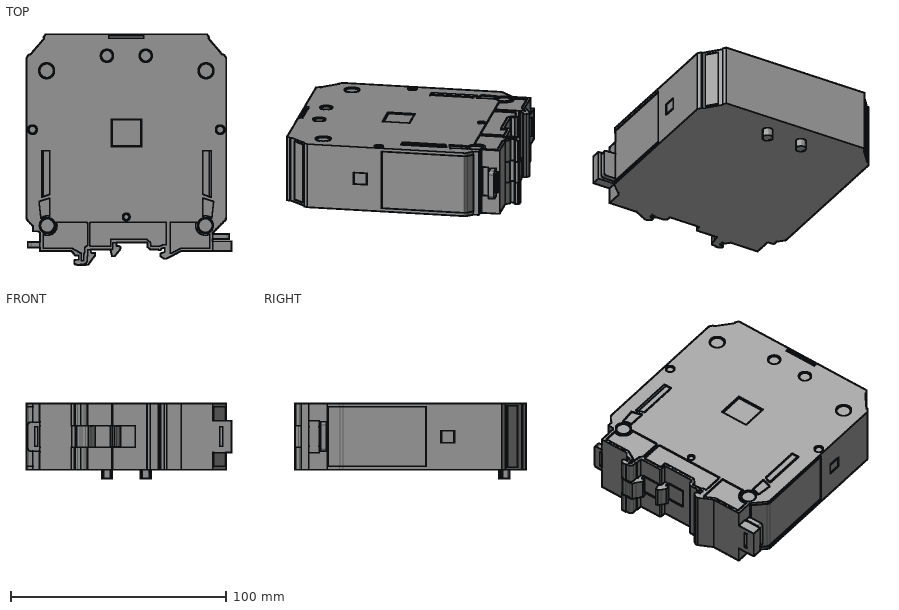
import cadquery as cq
import math

HEIGHT = 30.9
MID_Z = HEIGHT / 2
HALF_WIDTH = 46.5
TOP_Y = 107.4
BASE_HALF_WIDTH = 40.2
BASE_Y = 6.4
RAIL_Y = 7.2
CHANNEL_Y = 10.4
SHALLOW = 0.5
SIDES = (-1, 1)


def prism(points, bottom, top):
    """Polygon in XY, extruded from Z = bottom to Z = top."""
    return cq.Workplane("XY").workplane(offset=bottom).polyline(points).close().extrude(top - bottom)


def block(x_range, y_range, z_range):
    """Box given by its limits along each axis."""
    lows, highs = zip(x_range, y_range, z_range)
    sizes = [high - low for low, high in zip(lows, highs)]
    return cq.Workplane("XY").box(*sizes, centered=False).translate(lows)


def centred(half_height):
    """Z limits of a feature centred on the housing thickness."""
    return (MID_Z - half_height, MID_Z + half_height)


def flip(points, side):
    """Points drawn for the +X half, moved to the chosen side."""
    return [(side * x, y) for x, y in points]


CORNER_Y = 21.3
CORNER_RADIUS = 2.1
CHAMFER_END_Y = CORNER_Y - (HALF_WIDTH - BASE_HALF_WIDTH)
FOOT_ARC_RADIUS = 1.5
FOOT_RIGHT = -18.3
FOOT_HEEL = 0.4

UPPER_CORNER = [(HALF_WIDTH, 96.2), (45.4, 97.8), (44.6, 97.9), (38.2, 105.3), (38.5, 105.8), (37.5, TOP_Y)]


def housing():
    arc_mid = FOOT_ARC_RADIUS * math.sqrt(0.5)
    arc_centre = (FOOT_RIGHT - FOOT_ARC_RADIUS, FOOT_HEEL + FOOT_ARC_RADIUS)
    left_flank = [(-BASE_HALF_WIDTH, CHAMFER_END_Y), (-40.6, 15.6), (-43.5, 15.7), (-43.5, 18.1)]
    rail_side = [
        (FOOT_RIGHT, 4.1), (-17.8, 4.4), (-17.8, RAIL_Y), (-6.8, RAIL_Y), (-6.2, 7.8),
        (-6.2, CHANNEL_Y), (9.5, CHANNEL_Y), (9.8, 10.0), (9.8, 8.4), (11.1, RAIL_Y),
        (14.8, RAIL_Y), (15.2, 6.8), (15.9, 6.8), (16.2, 7.5), (17.8, 8.1),
        (17.8, 6.1), (16.3, 5.6), (15.8, 5.3), (15.8, 4.1), (17.5, 2.9), (18.7, 2.9),
        (25.5, BASE_Y), (BASE_HALF_WIDTH, BASE_Y), (BASE_HALF_WIDTH, CHAMFER_END_Y),
    ]
    foot = [
        (-BASE_HALF_WIDTH, BASE_Y), (-25.6, BASE_Y), (-23.8, 4.4), (-22.2, 4.4),
        (-22.2, 2.4), (-24.0, 2.4), (-24.3, 2.0), (-24.3, 0.9), (-23.8, 0.2), (-22.8, 0), (-21.2, 0),
        (-21.2, FOOT_HEEL), (arc_centre[0], FOOT_HEEL),
    ]
    outline = (
        cq.Workplane("XY").polyline(foot)
        .threePointArc((arc_centre[0] + arc_mid, arc_centre[1] - arc_mid), (FOOT_RIGHT, arc_centre[1]))
    )
    around = rail_side + [(HALF_WIDTH, CORNER_Y)] + UPPER_CORNER
    around += flip(UPPER_CORNER[::-1], -1) + [(-HALF_WIDTH, CORNER_Y)] + left_flank[::-1]
    for point in around:
        outline = outline.lineTo(*point)
    body = outline.close().extrude(HEIGHT)
    for side in SIDES:
        corner = cq.selectors.NearestToPointSelector((side * HALF_WIDTH, CORNER_Y, MID_Z))
        body = body.edges(corner).fillet(CORNER_RADIUS)
    return body


RIM = 0.4
LOWER_DISC_X = 36.7
LOWER_DISC_Y = 18.4
DISC_RADIUS = 3.7
DISC_WALL_RADIUS = 4.5
PIN_X = 9.0
PIN_Y = 97.3


def sloped_disc(x, y, radius):
    cone = cq.Solid.makeCone(radius - RIM, radius, SHALLOW, pnt=cq.Vector(x, y, HEIGHT - SHALLOW))
    return cq.Workplane(cone)


def disc_recesses():
    spots = [(0, 22.3, 1.7)]
    for side in SIDES:
        spots += [
            (side * PIN_X, PIN_Y, 3.0),
            (side * 37.0, 90.3, DISC_RADIUS),
            (side * 43.6, 62.9, 2.1),
            (side * LOWER_DISC_X, LOWER_DISC_Y, DISC_RADIUS),
        ]
    cuts = sloped_disc(*spots[0])
    for spot in spots[1:]:
        cuts = cuts.union(sloped_disc(*spot))
    return cuts


def square_recess():
    width, length = 14.2, 12.9
    slope = math.degrees(math.atan2(RIM, SHALLOW))
    return (
        cq.Workplane("XY").workplane(offset=HEIGHT).center(0, 61.4)
        .rect(width, length).extrude(-SHALLOW, taper=slope)
    )


def top_slot():
    depth = 1.1
    return block((-8.2, 8.2), (105.3, 106.6), (HEIGHT - depth, HEIGHT))


def base_panels():
    """Three sunken panels that leave a narrow wall along the base outline."""
    panel_top = 19.9
    left_panel = [
        (-LOWER_DISC_X, panel_top), (-18.5, panel_top), (-18.0, 19.4), (-18.0, 9.2), (-19.2, 8.2),
        (-19.4, 5.9), (-19.8, 5.2), (-19.8, 1.9), (-20.9, 1.9), (-20.9, 5.4), (-25.3, 7.8),
        (-38.7, 7.8), (-38.7, LOWER_DISC_Y),
    ]
    middle_panel = [
        (-16.6, panel_top), (18.6, panel_top), (18.6, 9.5), (17.1, 9.5), (15.5, 8.7), (11.4, 8.7),
        (11.4, 10.2), (9.6, 11.9), (-7.3, 11.9), (-7.3, 8.7), (-16.6, 8.7), (-17.0, 9.0), (-17.0, 19.5),
    ]
    right_panel = [
        (20.3, panel_top), (LOWER_DISC_X, panel_top), (LOWER_DISC_X, LOWER_DISC_Y), (38.7, LOWER_DISC_Y),
        (38.7, 7.8), (25.5, 7.8), (20.9, 5.5), (20.3, 5.5),
    ]
    panels = prism(left_panel, HEIGHT - SHALLOW, HEIGHT)
    for points in (middle_panel, right_panel):
        panels = panels.union(prism(points, HEIGHT - SHALLOW, HEIGHT))
    return panels


def flank_slots(side):
    """Long slot with a sloped outer wall, and a short slot that runs into the lower disc wall."""
    inner_x, outer_x = 35.5, 39.4
    wall_slope = 0.9
    floor_z = HEIGHT - SHALLOW
    section = [(inner_x, floor_z), (outer_x - wall_slope, floor_z), (outer_x, HEIGHT), (inner_x, HEIGHT)]
    trough = cq.Workplane("XZ").polyline(flip(section, side)).close().extrude(-TOP_Y)
    long_slot = [(inner_x, 53.2), (outer_x, 53.2), (outer_x, 31.5), (inner_x, 32.9)]
    short_slot = [(inner_x, 31.1), (40.6, 29.5), (39.7, 21.8), (inner_x, 21.8)]
    upper = trough.intersect(prism(flip(long_slot, side), floor_z, HEIGHT))
    return upper.union(prism(flip(short_slot, side), floor_z, HEIGHT))


def disc_walls():
    walls = cq.Workplane("XY").workplane(offset=HEIGHT - SHALLOW)
    centres = [(side * LOWER_DISC_X, LOWER_DISC_Y) for side in SIDES]
    return walls.pushPoints(centres).circle(DISC_WALL_RADIUS).extrude(SHALLOW)


FLANK_DEPTH = 0.3
FLANK_MARGIN = 1.6
FLANK_TOP_Y = 61.1
FLANK_WALL_SLOPE = 0.4


def flank_recess(side):
    """Shallow field that follows the flank round its lower corner."""
    floor_x = HALF_WIDTH - FLANK_DEPTH
    corner_y = CORNER_Y + FLANK_DEPTH * math.tan(math.radians(22.5))
    end_x = 43 if side < 0 else BASE_HALF_WIDTH
    end_y = corner_y - (floor_x - end_x)
    outside = HALF_WIDTH + 1.1
    points = [
        (outside, FLANK_TOP_Y), (HALF_WIDTH, FLANK_TOP_Y), (floor_x, FLANK_TOP_Y - FLANK_WALL_SLOPE),
        (floor_x, corner_y), (end_x, end_y), (outside, end_y),
    ]
    band = prism(flip(points, side), FLANK_MARGIN, HEIGHT - FLANK_MARGIN)
    corner = cq.selectors.NearestToPointSelector((side * floor_x, corner_y, MID_Z))
    return band.edges(corner).fillet(CORNER_RADIUS)


def flank_window(side):
    """Small rectangular recess with sloped ends."""
    low_y, high_y = 67.9, 74.3
    slope = 0.4
    floor_x = HALF_WIDTH - FLANK_DEPTH
    points = [(HALF_WIDTH, low_y), (HALF_WIDTH, high_y), (floor_x, high_y - slope), (floor_x, low_y + slope)]
    return prism(flip(points, side), *centred(2.8))


def label_recess(side):
    """Long label field on the sloped upper corner."""
    margin = 1.2
    lower, upper = UPPER_CORNER[2:4]
    run_x = (upper[0] - lower[0]) / (upper[1] - lower[1])
    ends = [(lower[0] + run_x * (y - lower[1]), y) for y in (98.8, 103.6)]
    points = ends + [(x - FLANK_DEPTH, y - FLANK_DEPTH) for x, y in ends[::-1]]
    return prism(flip(points, side), margin, HEIGHT - margin)


CLIP_HALF_HEIGHT = 5.0
CLIP_GAP = 0.3


def clip_channel():
    """Channel across the foot and rail side that houses the clip."""
    end_x = 4.1
    channel_z = centred(CLIP_HALF_HEIGHT)
    foot = block((-25.6, -17.2), (-1.1, BASE_Y), channel_z)
    beside_rail = block((-17.8, -6.2), (RAIL_Y - 1.1, RAIL_Y + SHALLOW), channel_z)
    ceiling = block((-6.2, end_x), (CHANNEL_Y - 1.1, CHANNEL_Y + SHALLOW), channel_z)
    return foot.union(beside_rail).union(ceiling)


def clip():
    """Foot and catch of the clip, both reaching into the channel walls."""
    low_z, high_z = centred(CLIP_HALF_HEIGHT)
    root_y = RAIL_Y + 2 * SHALLOW
    catch_root_y = CHANNEL_Y + 2 * SHALLOW
    foot = [
        (-25.3, BASE_Y), (-23.4, 4.6), (-21.9, 4.6), (-21.9, 2.5), (-23.5, 2.5), (-23.8, 2.0),
        (-23.8, 0.6), (-23.0, 0.2), (-21.7, 0.2), (-20.6, 0), (-19.0, 0), (-17.6, 0.1), (-16.6, 1.6),
        (-14.5, 4.4), (-14.5, 5.7), (-16.1, 5.7), (-16.4, 6.1), (-16.4, root_y), (-25.3, root_y),
    ]
    catch = [
        (-7.5, root_y), (-7.5, RAIL_Y), (-7.0, 5.3), (-6.7, 4.0), (-5.6, 4.0), (-4.6, 5.0), (-2.9, 7.1),
        (-2.6, 8.4), (-3.5, 8.9), (-4.5, 8.9), (-4.5, catch_root_y), (-6.2, catch_root_y), (-6.2, root_y),
    ]
    return prism(foot, low_z, high_z).union(prism(catch, low_z + CLIP_GAP, high_z))


TAB_SLOT_HALF_HEIGHT = 4.5


def tab_slot(x_range, y_range):
    return block(x_range, y_range, centred(TAB_SLOT_HALF_HEIGHT))


def left_tab():
    y_range = (8.1, 10.7)
    tab = block((-45.9, -BASE_HALF_WIDTH + 1.1), y_range, centred(6.8))
    tab = tab.faces("<X").edges("|Y").fillet(1.5)
    return tab.cut(tab_slot((-42.5, -41.1), y_range))


def left_latch_recess():
    """T-shaped recess behind the left tab."""
    x_range = (-BASE_HALF_WIDTH, -BASE_HALF_WIDTH + SHALLOW)
    crossbar = block(x_range, (11.8, 14.4), centred(7.0))
    return crossbar.union(block(x_range, (7.2, 11.8), centred(CLIP_HALF_HEIGHT)))


def right_tab():
    y_range = (BASE_Y, 11.2)
    tab = block((BASE_HALF_WIDTH - 1.1, 49.0), y_range, centred(7.4))
    return tab.cut(tab_slot((43.4, 44.8), y_range))


def right_latch():
    latch = block((BASE_HALF_WIDTH - 1.1, 47.9), (12.0, 14.5), centred(6.9))
    return latch.faces(">X").edges("|Y").fillet(1.3)


def pins():
    """Round pins, each with two narrow grooves along its -Y side."""
    radius, length = 2.5, 4.1
    groove_width, groove_depth = 0.9, 0.4
    pin = cq.Workplane("XY").circle(radius).extrude(-length)
    for angle in (210, 330):
        groove = block((radius - groove_depth, radius), (-groove_width / 2, groove_width / 2), (-length, 0))
        pin = pin.cut(groove.rotate((0, 0, 0), (0, 0, 1), angle))
    left, right = [pin.translate((side * PIN_X, PIN_Y, 0)) for side in SIDES]
    return left.union(right)


sunken = base_panels()
for side in SIDES:
    sunken = sunken.union(flank_slots(side))
sunken = sunken.cut(disc_walls())

result = housing().cut(sunken).cut(disc_recesses()).cut(square_recess()).cut(top_slot())
for side in SIDES:
    result = result.cut(flank_recess(side)).cut(flank_window(side)).cut(label_recess(side))
result = result.cut(clip_channel()).cut(left_latch_recess())
for addition in (clip(), left_tab(), right_tab(), right_latch(), pins()):
    result = result.union(addition)